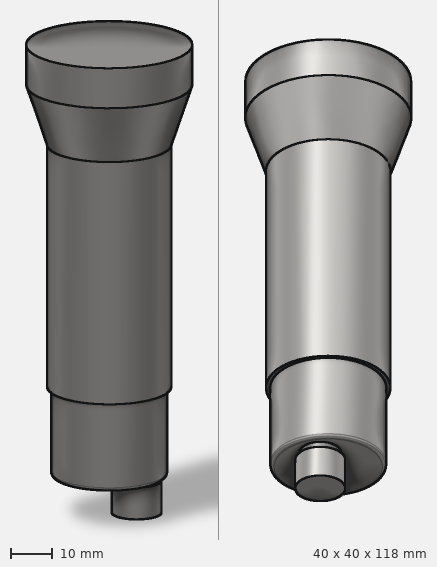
import cadquery as cq

total_height = 118.0
head_height = 10.0
taper_height = 15.0
grip_height = 60.8
neck_height = 2.0
plug_height = 8.0
base_height = total_height - head_height - taper_height - grip_height - neck_height - plug_height

head_diameter = 40.0
grip_diameter = 30.0
base_diameter = 28.0
neck_diameter = 10.0
plug_diameter = 12.0

base_edge_radius = 1.0
plug_offset = 7.0

neck_bottom = plug_height
base_bottom = neck_bottom + neck_height
grip_bottom = base_bottom + base_height
taper_bottom = grip_bottom + grip_height
head_bottom = taper_bottom + taper_height


def cylinder(diameter, height, bottom, y=0.0):
    """Vertical cylinder standing on the given level."""
    return cq.Workplane("XY", origin=(0, y, bottom)).circle(diameter / 2).extrude(height)


base = cylinder(base_diameter, base_height, base_bottom).faces("<Z").edges().fillet(base_edge_radius)
grip = cylinder(grip_diameter, grip_height, grip_bottom)
flare = (
    cq.Workplane("XY", origin=(0, 0, taper_bottom))
    .circle(grip_diameter / 2)
    .workplane(offset=taper_height)
    .circle(head_diameter / 2)
    .loft(ruled=True)
)
head = cylinder(head_diameter, head_height, head_bottom)

neck = cylinder(neck_diameter, neck_height, neck_bottom, plug_offset)
plug = cylinder(plug_diameter, plug_height, 0.0, plug_offset)

result = base.union(grip).union(flare).union(head).union(neck).union(plug)